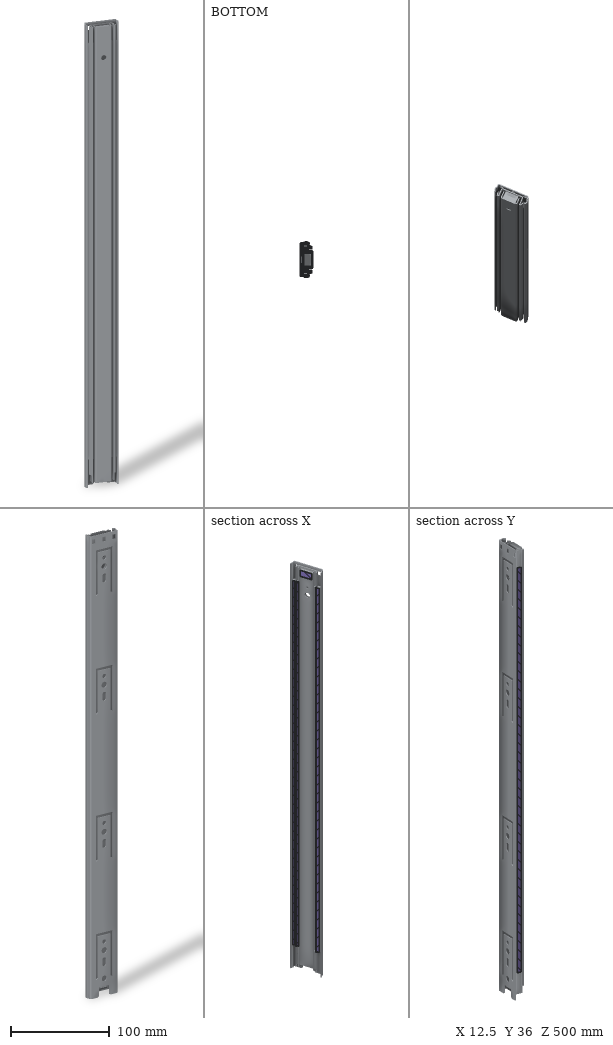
import cadquery as cq

LENGTH = 500.0
DEPTH = 12.5
HALF_HEIGHT = 18.0
SHEET = 1.0

NESTED_TOP = 498.0
NESTED_BOTTOM = 5.5
HEM_BOTTOM = 14.0

RACE_RISE = 1.0
OUTER_SHOULDER = HALF_HEIGHT - RACE_RISE
OUTER_CORNER = 1.5
RACE_START = 3.5
RACE_CROWN = 6.0
OUTER_LIP_X = 9.0
OUTER_LIP_Y = 16.5

MIDDLE_WEB_X = 2.25
MIDDLE_FLANGE_Y = 12.0
MIDDLE_CORNER = 1.5
MIDDLE_RIM_X = 11.5
HEM_SHOULDER_Y = 13.0
HEM_TIP_X = 8.5
HEM_TIP_Y = 14.5

INNER_HALF = 9.0
INNER_CORNER = 1.75
INNER_FLANGE_X = 5.0

GROUP_TOPS = (484.0, 356.0, 197.0, 69.0)
TAB_SLOT = 3.0
TAB_HALF = 10.5
TAB_LENGTH = 49.5
TAB_END_SLOPE = 1.5
TAB_CORNER = 1.5
SMALL_HOLE_DROP = 10.0
LARGE_HOLE_DROP = 19.5
OBLONG_DROP = 32.0
SMALL_HOLE = 4.5
LARGE_HOLE = 6.5
OBLONG_WIDTH = 4.5
OBLONG_LENGTH = 9.5
LOW_HOLE_Z = 19.0
LOW_HOLE = 6.0
NOTCH_HALF = 6.5
NOTCH_HEIGHT = 10.5
NOTCH_CHAMFER = 1.5
WINDOW_Z = 494.0
WINDOW_HEIGHT = 5.0
WINDOW_WIDTH = 4.5
SIDE_WINDOW_NEAR = 10.5
SIDE_WINDOW_FAR = 14.5

ACCESS_HOLE_MIDDLE = 6.0
ACCESS_HOLE_INNER = 5.5
PILOT_HOLE = 2.5

RAMP_HALF = 4.5
RAMP_BOTTOM = 7.0
RAMP_TOP = 9.5
RAMP_RISE = 2.0

CAGE_BOTTOM = 30.0
CAGE_TOP = 480.0
CAGE_END_X = 8.0
CAGE_GAP = 0.25
OUTER_CAGE_X = 2.5
OUTER_CAGE_FAR = 15.5
INNER_CAGE_X = 4.0
STOP_HALF = 7.0
STOP_HEIGHT = 10.0
STOP_TOP = 497.5
STOP_STEP_X = 7.0
STOP_STEP = 2.0


def box(x, y, z):
    """Box between the low and high values given for each axis."""
    size = [high - low for low, high in (x, y, z)]
    return cq.Workplane("XY").box(*size, centered=False).translate((x[0], y[0], z[0]))


def symmetric_rail(half_outline, bottom, top):
    """Extrude the +Y half of a section along Z and join it to its mirror image."""
    half = half_outline.close().extrude(top - bottom).translate((0, 0, bottom))
    return half.union(half.mirror("XZ")).clean()


def web_cutter(sketch):
    """Cutter through the whole depth, from an outline drawn in Y and Z."""
    return sketch.extrude(DEPTH)


def round_cutter(diameter, z):
    return web_cutter(cq.Workplane("YZ").center(0, z).circle(diameter / 2))


def tab_slot_cutter(top):
    """Inverted U slot that frees a mounting tab on three sides."""
    inner = TAB_HALF - TAB_SLOT
    bottom = top - TAB_LENGTH
    outline = [
        (-TAB_HALF, bottom),
        (-TAB_HALF, top),
        (TAB_HALF, top),
        (TAB_HALF, bottom),
        (inner, bottom + TAB_END_SLOPE),
        (inner, top - TAB_SLOT),
        (-inner, top - TAB_SLOT),
        (-inner, bottom + TAB_END_SLOPE),
    ]
    slot = web_cutter(cq.Workplane("YZ").polyline(outline).close())
    return slot.edges("|X").edges(">Z").fillet(TAB_CORNER)


def oblong_cutter(z):
    return web_cutter(cq.Workplane("YZ").center(0, z).slot2D(OBLONG_LENGTH, OBLONG_WIDTH, 90))


def notch_cutter():
    mouth = NOTCH_HALF + NOTCH_CHAMFER
    outline = [
        (-mouth, 0),
        (-NOTCH_HALF, NOTCH_CHAMFER),
        (-NOTCH_HALF, NOTCH_HEIGHT),
        (NOTCH_HALF, NOTCH_HEIGHT),
        (NOTCH_HALF, NOTCH_CHAMFER),
        (mouth, 0),
    ]
    return web_cutter(cq.Workplane("YZ").polyline(outline).close())


def outer_rail():
    inner_shoulder = OUTER_SHOULDER - SHEET
    section = (
        cq.Workplane("XY")
        .lineTo(0, OUTER_SHOULDER - OUTER_CORNER)
        .radiusArc((OUTER_CORNER, OUTER_SHOULDER), OUTER_CORNER)
        .lineTo(RACE_START, OUTER_SHOULDER)
        .threePointArc((RACE_CROWN, HALF_HEIGHT), (OUTER_LIP_X, OUTER_LIP_Y))
        .lineTo(OUTER_LIP_X - SHEET / 2, OUTER_LIP_Y - SHEET)
        .threePointArc((RACE_CROWN, HALF_HEIGHT - SHEET), (RACE_START + SHEET / 2, inner_shoulder))
        .lineTo(OUTER_CORNER, inner_shoulder)
        .radiusArc((SHEET, OUTER_SHOULDER - OUTER_CORNER), -(OUTER_CORNER - SHEET))
        .lineTo(SHEET, 0)
    )
    rail = symmetric_rail(section, 0, LENGTH)
    for top in GROUP_TOPS:
        rail = rail.cut(tab_slot_cutter(top))
        rail = rail.cut(round_cutter(SMALL_HOLE, top - SMALL_HOLE_DROP))
        rail = rail.cut(round_cutter(LARGE_HOLE, top - LARGE_HOLE_DROP))
        rail = rail.cut(oblong_cutter(top - OBLONG_DROP))
    rail = rail.cut(round_cutter(LOW_HOLE, LOW_HOLE_Z)).cut(notch_cutter())

    web = (0, SHEET)
    window_z = (WINDOW_Z - WINDOW_HEIGHT / 2, WINDOW_Z + WINDOW_HEIGHT / 2)
    rail = rail.cut(box(web, (-WINDOW_WIDTH / 2, WINDOW_WIDTH / 2), window_z))
    side_window = box(web, (SIDE_WINDOW_NEAR, SIDE_WINDOW_FAR), window_z)
    return rail.cut(side_window).cut(side_window.mirror("XZ"))


def latch_ramp():
    """Wedge on the outer face of the middle rail web, with its underside sloping to the rail end."""
    outline = [
        (MIDDLE_WEB_X, RAMP_BOTTOM),
        (MIDDLE_WEB_X - RAMP_RISE, RAMP_TOP),
        (MIDDLE_WEB_X, RAMP_TOP),
    ]
    return cq.Workplane("XZ").polyline(outline).close().extrude(RAMP_HALF, both=True)


def middle_rail():
    inner_y = MIDDLE_FLANGE_Y - SHEET
    web_back = MIDDLE_WEB_X + SHEET
    section = (
        cq.Workplane("XY")
        .moveTo(MIDDLE_WEB_X, 0)
        .lineTo(MIDDLE_WEB_X, MIDDLE_FLANGE_Y - MIDDLE_CORNER)
        .radiusArc((MIDDLE_WEB_X + MIDDLE_CORNER, MIDDLE_FLANGE_Y), MIDDLE_CORNER)
        .lineTo(MIDDLE_RIM_X - SHEET, MIDDLE_FLANGE_Y)
        .lineTo(MIDDLE_RIM_X - SHEET, HEM_SHOULDER_Y - SHEET / 2)
        .lineTo(HEM_TIP_X - SHEET / 2, HEM_TIP_Y - SHEET)
        .lineTo(HEM_TIP_X, HEM_TIP_Y)
        .lineTo(MIDDLE_RIM_X, HEM_SHOULDER_Y)
        .lineTo(MIDDLE_RIM_X, inner_y)
        .lineTo(MIDDLE_WEB_X + MIDDLE_CORNER, inner_y)
        .radiusArc((web_back, MIDDLE_FLANGE_Y - MIDDLE_CORNER), -(MIDDLE_CORNER - SHEET))
        .lineTo(web_back, 0)
    )
    rail = symmetric_rail(section, NESTED_BOTTOM, NESTED_TOP)
    rail = rail.cut(round_cutter(ACCESS_HOLE_MIDDLE, GROUP_TOPS[0] - LARGE_HOLE_DROP))
    rail = rail.cut(round_cutter(PILOT_HOLE, GROUP_TOPS[0] - SMALL_HOLE_DROP))
    trim_z = (NESTED_BOTTOM, HEM_BOTTOM)
    hem_end = box((MIDDLE_WEB_X, DEPTH), (MIDDLE_FLANGE_Y, HALF_HEIGHT), trim_z)
    rim_end = box((MIDDLE_RIM_X - SHEET, DEPTH), (inner_y, MIDDLE_FLANGE_Y), trim_z)
    for trim in (hem_end, rim_end):
        rail = rail.cut(trim).cut(trim.mirror("XZ"))
    return rail.union(latch_ramp())


def inner_rail():
    inner_y = INNER_HALF - SHEET
    web_front = DEPTH - SHEET
    section = (
        cq.Workplane("XY")
        .moveTo(DEPTH, 0)
        .lineTo(DEPTH, INNER_HALF - INNER_CORNER)
        .radiusArc((DEPTH - INNER_CORNER, INNER_HALF), -INNER_CORNER)
        .lineTo(INNER_FLANGE_X, INNER_HALF)
        .lineTo(INNER_FLANGE_X, inner_y)
        .lineTo(DEPTH - INNER_CORNER, inner_y)
        .radiusArc((web_front, INNER_HALF - INNER_CORNER), INNER_CORNER - SHEET)
        .lineTo(web_front, 0)
    )
    rail = symmetric_rail(section, NESTED_BOTTOM, NESTED_TOP)
    return rail.cut(round_cutter(ACCESS_HOLE_INNER, GROUP_TOPS[0] - LARGE_HOLE_DROP))


def ball_cage(start_x, near, far, side):
    """Strip that holds the balls between two flanges, on the +Y (1) or -Y (-1) side."""
    strip = box((start_x, CAGE_END_X), (near, far), (CAGE_BOTTOM, CAGE_TOP))
    return strip if side > 0 else strip.mirror("XZ")


def outer_cage(side):
    return ball_cage(OUTER_CAGE_X, MIDDLE_FLANGE_Y + CAGE_GAP, OUTER_CAGE_FAR, side)


def inner_cage(side):
    far = MIDDLE_FLANGE_Y - SHEET - CAGE_GAP
    return ball_cage(INNER_CAGE_X, INNER_HALF + CAGE_GAP, far, side)


def end_stop():
    """Block between the webs of the middle and inner rails, with a lower step at its foot."""
    foot_x = MIDDLE_WEB_X + SHEET
    low = STOP_TOP - STOP_HEIGHT
    height = (-STOP_HALF, STOP_HALF)
    foot = box((foot_x, STOP_STEP_X), height, (low, STOP_TOP - STOP_STEP))
    block = box((STOP_STEP_X, DEPTH - SHEET), height, (low, STOP_TOP))
    return foot.union(block)


sides = (1, -1)
outer_cages = [outer_cage(side) for side in sides]
inner_cages = [inner_cage(side) for side in sides]

bodies = [outer_rail(), middle_rail(), inner_rail(), end_stop(), *outer_cages, *inner_cages]
result = cq.Compound.makeCompound([body.val() for body in bodies])